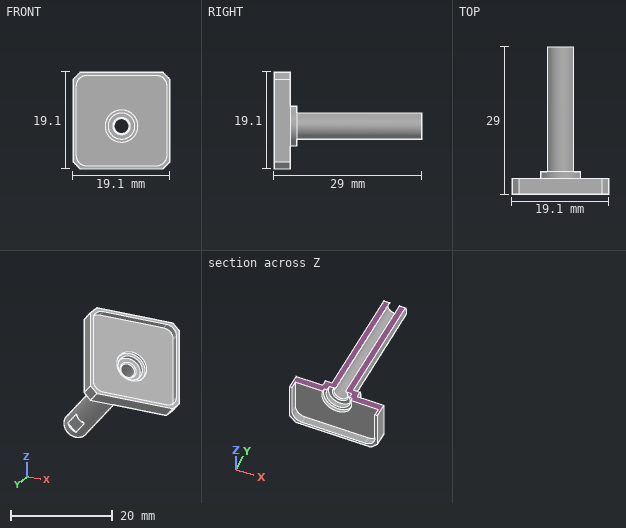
import cadquery as cq

plate_side = 19.05
plate_thickness = 3.15
corner_chamfer = 1.4

rim_width = 0.6
tray_side = plate_side - 2 * rim_width
tray_corner_radius = 2.1
tray_depth = 1.57

overall_length = 29.03
collar_diameter = 7.87
collar_thickness = 1.3
shaft_diameter = 5.2
shaft_axis_z = -1.07

outer_step_diameter = 6.4
outer_step_depth = 0.7
inner_step_diameter = 5.2
inner_step_depth = 1.05
bore_diameter = 2.93
bore_mouth_diameter = 3.43
bore_chamfer = (bore_mouth_diameter - bore_diameter) / 2

flat_length = 4.1
flat_end_gap = 1.75
flat_distance = 2.3
flat_angle = 45.0


def plane_at(y, z):
    """Plane at the given Y with its normal along -Y and its origin at height z."""
    return cq.Workplane("XZ", origin=(0, y, z))


def cylinder(diameter, start, length):
    """Cylinder on the shaft axis, running from start toward +Y."""
    return plane_at(start, shaft_axis_z).circle(diameter / 2).extrude(-length)


def square_block(side, start, length):
    """Square block centred on the plate, running from start toward +Y."""
    return plane_at(start, 0).rect(side, side).extrude(-length)


plate = square_block(plate_side, 0, plate_thickness).edges("|Y").chamfer(corner_chamfer)
collar = cylinder(collar_diameter, plate_thickness, collar_thickness)
shaft = cylinder(shaft_diameter, plate_thickness, overall_length - plate_thickness)
body = plate.union(collar).union(shaft)

tray = square_block(tray_side, 0, tray_depth).edges("|Y").fillet(tray_corner_radius)

inner_step_start = tray_depth + outer_step_depth
bore_start = inner_step_start + inner_step_depth
outer_step = cylinder(outer_step_diameter, tray_depth, outer_step_depth)
inner_step = cylinder(inner_step_diameter, inner_step_start, inner_step_depth)
bore = cylinder(bore_diameter, bore_start, overall_length - bore_start)
bore_mouth = (
    plane_at(bore_start, shaft_axis_z)
    .circle(bore_mouth_diameter / 2)
    .workplane(offset=-bore_chamfer)
    .circle(bore_diameter / 2)
    .loft(ruled=True)
)

flat_center_y = overall_length - flat_end_gap - flat_length / 2
cutter_size = shaft_diameter
flat_cutter = (
    cq.Workplane("XY")
    .box(cutter_size, flat_length, cutter_size)
    .translate((-flat_distance - cutter_size / 2, flat_center_y, 0))
    .rotate((0, 0, 0), (0, 1, 0), -flat_angle)
    .translate((0, 0, shaft_axis_z))
)

result = body
for cutter in (tray, outer_step, inner_step, bore_mouth, bore, flat_cutter):
    result = result.cut(cutter)